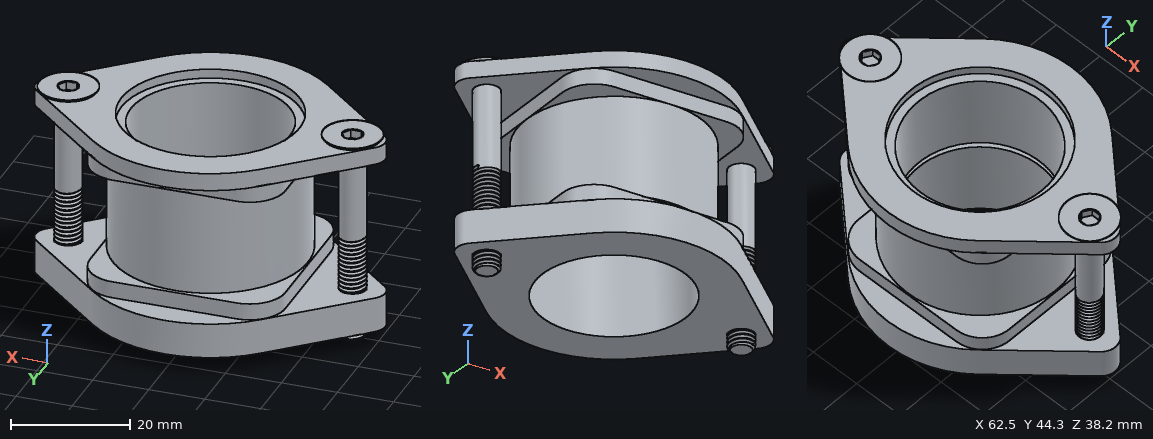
import cadquery as cq
import math

plate_length = 62.5
plate_width = 44.3
lobe_radius = 3.2
bolt_spacing = 50.75
upper_plate_thickness = 3.2
lower_plate_thickness = 6.4

flange_width = 34.85
flange_corner_radius = 6.3
flange_thickness = 3.0
barrel_diameter = flange_width
barrel_height = 18.8
flange_gap = 0.4

bore_diameter = 28.4
socket_diameter = 31.8
spigot_height = 6.6
seal_gap = 1.1
top_recess_depth = 1.7

shank_diameter = 4.8
head_diameter = 10.45
head_protrusion = 0.55
head_rim_height = 0.1
head_cone_angle = 82
bolt_stickout = 2.8
bolt_end_chamfer = 0.5
hex_corner_diameter = 3.7
hex_depth = 1.6
hex_chamfer = 0.1
thread_length = 19.25
thread_turns = 24
thread_depth = 0.45
groove_share_of_pitch = 7 / 8
groove_overshoot = thread_depth / 4

lower_flange_base = lower_plate_thickness
spigot_base = lower_flange_base + flange_thickness
barrel_base = spigot_base + flange_gap
upper_flange_base = barrel_base + barrel_height
upper_plate_base = upper_flange_base + flange_thickness
upper_plate_top = upper_plate_base + upper_plate_thickness
head_top = upper_plate_top + head_protrusion
bolt_end = -bolt_stickout

shank_radius = shank_diameter / 2
head_radius = head_diameter / 2
head_cone_height = (head_radius - shank_radius) / math.tan(math.radians(head_cone_angle / 2))
rim_bottom = head_top - head_rim_height
cone_bottom = rim_bottom - head_cone_height
bolt_centres = [(-bolt_spacing / 2, 0), (bolt_spacing / 2, 0)]


def disc(diameter, base, top):
    """Round cylinder on the Z axis between two levels."""
    return cq.Workplane("XY").workplane(offset=base).circle(diameter / 2).extrude(top - base)


def plate(base, thickness):
    """Oval plate: a large central arc joined by tangent lines to a small lobe at each end."""
    centre_radius = plate_width / 2
    lobe_centre = plate_length / 2 - lobe_radius
    tangent_cos = (centre_radius - lobe_radius) / lobe_centre
    tangent_sin = math.sqrt(1 - tangent_cos**2)
    centre_x = centre_radius * tangent_cos
    centre_y = centre_radius * tangent_sin
    lobe_x = lobe_centre + lobe_radius * tangent_cos
    lobe_y = lobe_radius * tangent_sin
    return (
        cq.Workplane("XY")
        .workplane(offset=base)
        .moveTo(-centre_x, centre_y)
        .threePointArc((0, centre_radius), (centre_x, centre_y))
        .lineTo(lobe_x, lobe_y)
        .threePointArc((plate_length / 2, 0), (lobe_x, -lobe_y))
        .lineTo(centre_x, -centre_y)
        .threePointArc((0, -centre_radius), (-centre_x, -centre_y))
        .lineTo(-lobe_x, -lobe_y)
        .threePointArc((-plate_length / 2, 0), (-lobe_x, lobe_y))
        .close()
        .extrude(thickness)
    )


def square_flange(base):
    """Square with rounded corners, centred on the Z axis."""
    return (
        cq.Workplane("XY")
        .workplane(offset=base)
        .rect(flange_width, flange_width)
        .extrude(flange_thickness)
        .edges("|Z")
        .fillet(flange_corner_radius)
    )


def bolt_blank():
    """Unthreaded bolt on the Z axis: chamfered shank, countersunk head and rim."""
    end_radius = shank_radius - bolt_end_chamfer
    return (
        cq.Workplane("XZ")
        .moveTo(0, bolt_end)
        .lineTo(end_radius, bolt_end)
        .lineTo(shank_radius, bolt_end + bolt_end_chamfer)
        .lineTo(shank_radius, cone_bottom)
        .lineTo(head_radius, rim_bottom)
        .lineTo(head_radius, head_top)
        .lineTo(0, head_top)
        .close()
        .revolve(360, (0, 0), (0, 1))
    )


def hex_socket():
    """Hexagonal drive recess, with a conical chamfer around its mouth."""
    mouth = cq.Workplane("XY").workplane(offset=head_top)
    recess = mouth.polygon(6, hex_corner_diameter).extrude(-hex_depth)
    chamfer_cone = mouth.circle(hex_corner_diameter / 2).extrude(-hex_chamfer, taper=45)
    return recess.union(chamfer_cone)


def thread_groove():
    """Helical V groove running from the bolt end up to the plain shank."""
    pitch = thread_length / thread_turns
    root_radius = shank_radius - thread_depth
    mouth_radius = shank_radius + groove_overshoot
    half_width_at_shank = pitch * groove_share_of_pitch / 2
    half_mouth = half_width_at_shank * (mouth_radius - root_radius) / thread_depth
    rise = thread_length - half_width_at_shank
    path = cq.Wire.makeHelix(pitch, rise, root_radius, center=cq.Vector(0, 0, bolt_end))
    return (
        cq.Workplane("XZ")
        .moveTo(root_radius, bolt_end)
        .lineTo(mouth_radius, bolt_end + half_mouth)
        .lineTo(mouth_radius, bolt_end - half_mouth)
        .close()
        .sweep(cq.Workplane(obj=path), isFrenet=True)
    )


def make_bolt():
    """Complete bolt on the Z axis, with its head up."""
    return bolt_blank().cut(hex_socket()).cut(thread_groove()).solids()


def make_lower_flange():
    """Thick plate with a square flange and a spigot that enters the barrel."""
    body = plate(0, lower_plate_thickness)
    body = body.union(square_flange(lower_flange_base))
    body = body.union(disc(socket_diameter, spigot_base, spigot_base + spigot_height))
    body = body.cut(disc(bore_diameter, 0, spigot_base + spigot_height))
    bolt_holes = cq.Workplane("XY").pushPoints(bolt_centres).circle(shank_radius)
    return body.cut(bolt_holes.extrude(lower_plate_thickness)).solids()


def make_upper_flange(bolt_space):
    """Thin plate with a square flange and a barrel, countersunk for the bolts."""
    socket_top = spigot_base + spigot_height + seal_gap
    body = plate(upper_plate_base, upper_plate_thickness)
    body = body.union(square_flange(upper_flange_base))
    body = body.union(disc(barrel_diameter, barrel_base, upper_flange_base))
    body = body.cut(disc(bore_diameter, barrel_base, upper_plate_top))
    body = body.cut(disc(socket_diameter, barrel_base, socket_top))
    body = body.cut(disc(socket_diameter, upper_plate_top - top_recess_depth, upper_plate_top))
    for x, y in bolt_centres:
        body = body.cut(bolt_space.translate((x, y, 0)))
    return body.solids()


lower_flange = make_lower_flange()
upper_flange = make_upper_flange(bolt_blank())
bolt = make_bolt()
bolts = [bolt.translate((x, y, 0)) for x, y in bolt_centres]

result = cq.Compound.makeCompound(
    [lower_flange.val(), upper_flange.val(), *[copy.val() for copy in bolts]]
)